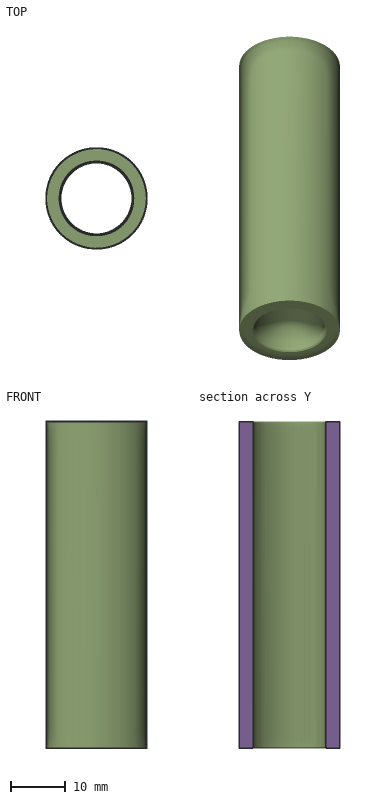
import cadquery as cq

length = 60.0
outer_diameter = 18.5
bore_diameter = 13.15
bore_chamfer = 0.225


def make_tube():
    """Plain round tube standing on the XY plane, axis along Z."""
    return (
        cq.Workplane("XY")
        .circle(outer_diameter / 2)
        .circle(bore_diameter / 2)
        .extrude(length)
    )


def chamfer_bore_mouths(tube):
    """Break the bore edge at both ends of the tube."""
    bore_edges = tube.faces("|Z").edges(cq.selectors.RadiusNthSelector(0))
    return bore_edges.chamfer(bore_chamfer)


result = chamfer_bore_mouths(make_tube())